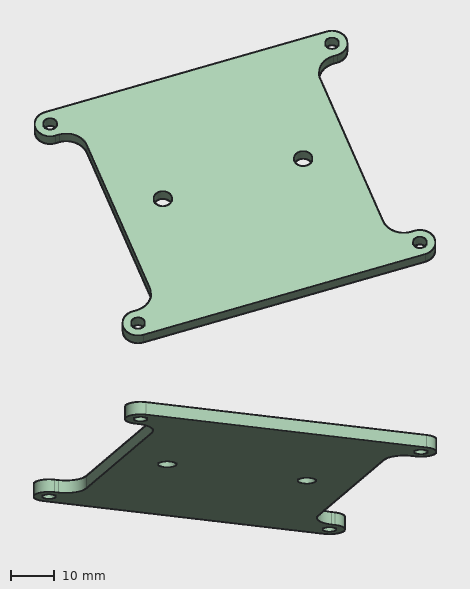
import cadquery as cq

width = 67.0
length = 75.4
thickness = 3.0

ear_radius = 3.55
notch_depth = 9.4
notch_fillet = 5.0
ear_hole_diameter = 3.2

mount_hole_diameter = 4.2
mount_hole_spacing = 34.0
mount_hole_x = -1.35

ear_x = width / 2 - ear_radius
ear_y = length / 2 - ear_radius
notch_width = width - 4 * ear_radius
notch_floor_y = length / 2 - notch_depth


def end_notch(side):
    """Cutter with rounded inner corners, open at the +Y (1) or -Y (-1) end."""
    cutter_length = 2 * notch_depth
    return (
        cq.Workplane("XY")
        .center(0, side * (notch_floor_y + cutter_length / 2))
        .rect(notch_width, cutter_length)
        .extrude(thickness)
        .edges("|Z")
        .edges("<Y" if side > 0 else ">Y")
        .fillet(notch_fillet)
    )


def ear_tips():
    """Full-round discs on the four corners."""
    return (
        cq.Workplane("XY")
        .rect(2 * ear_x, 2 * ear_y, forConstruction=True)
        .vertices()
        .circle(ear_radius)
        .extrude(thickness)
    )


result = cq.Workplane("XY").box(width, 2 * ear_y, thickness, centered=(True, True, False))
for side in (1, -1):
    result = result.cut(end_notch(side))
result = result.union(ear_tips())

ear_points = [(sx * ear_x, sy * ear_y) for sx in (-1, 1) for sy in (-1, 1)]
mount_points = [(mount_hole_x, sy * mount_hole_spacing / 2) for sy in (-1, 1)]
top = result.faces(">Z").workplane(origin=(0, 0, thickness))
result = top.pushPoints(ear_points).hole(ear_hole_diameter)
top = result.faces(">Z").workplane(origin=(0, 0, thickness))
result = top.pushPoints(mount_points).hole(mount_hole_diameter)